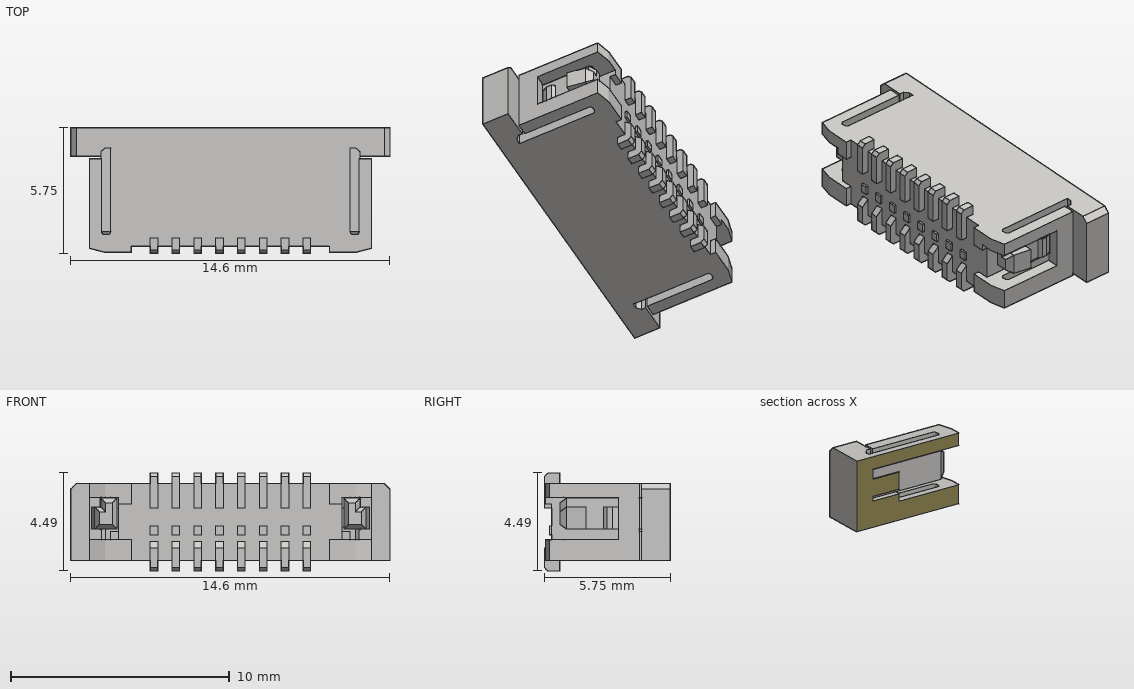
import cadquery as cq

length = 14.6
depth = 5.75
housing_height = 3.53

flange_depth = 1.31
flange_chamfer = 0.26
flange_front = depth - flange_depth
flange_half = length / 2
housing_half = 6.45
front_face = 0.32
arm_gap = 0.1
arm_back = flange_front - arm_gap

ear_front = 0.05
ear_inner = 4.53
ear_taper_start = 5.72
ear_side_front = 0.23
upper_ear_bottom = 2.58

window_bottom = 0.96
window_top = 2.89
window_back = 3.37
cavity_inner = 5.11
cavity_outer = 5.95
ledge_top = 1.33

slot_inner = 5.48
slot_outer = 5.88
slot_rear_outer = 5.93
slot_front = 0.86
slot_back = 4.83
slot_radius = 0.15
slot_chamfer_x = 0.22
slot_chamfer_y = 0.18

latch_inner = 5.18
latch_outer = slot_rear_outer
latch_bottom = 1.45
latch_top = 2.86
latch_clearance = window_top - latch_top
latch_front = 0.7
latch_bevel_length = 0.3
latch_bevel_inset = 0.22
bevel_back = latch_front + latch_bevel_length
hook_outer = 6.35
hook_front_outer = 6.2
hook_top = 2.45
hook_back = 1.9
bump_height = 0.12
bump_front = 2.7
bump_flat_front = 2.86
bump_flat_back = 3.11
bridge_bottom = 1.53
bridge_top = 2.41

pin_count = 8
pin_row_span = 7.0
pin_pitch = pin_row_span / (pin_count - 1)
pin_width = 0.35
pin_overhang = 0.48
pin_back = 0.7
pin_chamfer = 0.16
upper_pin_bottom = 2.41
lower_pin_top = 0.88
lower_pin_slope_end = 0.57
stub_bottom = 1.18
stub_top = 1.59
stub_projection = 0.1


def box(x_range, y_range, z_range):
    """Axis-aligned block between two limits on each axis."""
    size = [limits[1] - limits[0] for limits in (x_range, y_range, z_range)]
    corner = (x_range[0], y_range[0], z_range[0])
    return cq.Workplane("XY").box(*size, centered=False).translate(corner)


def make_flange():
    flange = box((-flange_half, flange_half), (flange_front, depth), (0, housing_height))
    return flange.edges("|Y and >Z").chamfer(flange_chamfer)


def make_housing():
    return box((-housing_half, housing_half), (front_face, flange_front), (0, housing_height))


def make_ears():
    """Left pair of tapered ears; the upper one hangs lower than the window top."""
    ear = [
        (-housing_half, front_face),
        (-housing_half, ear_side_front),
        (-ear_taper_start, ear_front),
        (-ear_inner, ear_front),
        (-ear_inner, front_face),
    ]
    ears = cq.Workplane("XY").polyline(ear).close().extrude(housing_height)
    opening = box((-housing_half, -ear_inner), (0, front_face), (window_bottom, upper_ear_bottom))
    return ears.cut(opening)


def make_slot():
    """Left full-height slot: rounded at the front, one chamfered corner at the rear."""
    narrow = box((-slot_outer, -slot_inner), (slot_front, flange_front), (0, housing_height))
    narrow = narrow.edges("|Z and <Y").fillet(slot_radius)
    rear = [
        (-slot_inner, arm_back),
        (-slot_rear_outer, arm_back),
        (-slot_rear_outer, slot_back - slot_chamfer_y),
        (-slot_rear_outer + slot_chamfer_x, slot_back),
        (-slot_inner, slot_back),
    ]
    return narrow.union(cq.Workplane("XY").polyline(rear).close().extrude(housing_height))


def make_side_cuts():
    """Everything removed around the left latch."""
    window = box((-housing_half, -cavity_inner), (0, window_back), (window_bottom, window_top))
    beam_space = box(
        (-cavity_outer, -slot_inner),
        (window_back, arm_back),
        (latch_bottom - latch_clearance, window_top),
    )
    ledge_space = box((-slot_inner, -cavity_inner), (window_back, slot_back), (ledge_top, window_top))
    gap = box((-housing_half, -slot_rear_outer), (arm_back, flange_front), (0, housing_height))
    return make_slot().union(window).union(beam_space).union(ledge_space).union(gap)


def hook_outline(inset):
    """Stepped front outline of the latch in X and Z, moved inwards by the inset."""
    return [
        (-latch_inner - inset, latch_bottom + inset),
        (-latch_inner - inset, latch_top - inset),
        (-latch_outer + inset, latch_top - inset),
        (-latch_outer + inset, hook_top - inset),
        (-hook_front_outer + inset, hook_top - inset),
        (-hook_front_outer + inset, latch_bottom + inset),
    ]


def make_latch():
    """Left latch: beam from the slot back, side hook, snap bump and bevelled nose."""
    beam = box((-latch_outer, -latch_inner), (bevel_back, slot_back), (latch_bottom, latch_top))
    side = [
        (-latch_inner, bevel_back),
        (-hook_front_outer, bevel_back),
        (-hook_outer, hook_back),
        (-latch_outer, hook_back),
        (-latch_outer, bump_front),
        (-latch_outer - bump_height, bump_flat_front),
        (-latch_outer - bump_height, bump_flat_back),
        (-latch_outer, window_back),
        (-latch_inner, window_back),
    ]
    side_body = cq.Workplane("XY", origin=(0, 0, latch_bottom)).polyline(side).close()
    side_body = side_body.extrude(hook_top - latch_bottom)
    nose = (
        cq.Workplane("XZ", origin=(0, bevel_back, 0))
        .polyline(hook_outline(0))
        .close()
        .workplane(offset=latch_bevel_length)
        .polyline(hook_outline(latch_bevel_inset))
        .close()
        .loft(ruled=True)
    )
    bridge = box((-latch_inner, -cavity_inner), (window_back, slot_back), (bridge_bottom, bridge_top))
    return beam.union(side_body).union(nose).union(bridge)


def make_contact():
    """Upper pin, lower pin and small stub of one contact, centred on X = 0."""
    top = housing_height + pin_overhang
    upper = [
        (pin_back, top),
        (pin_chamfer, top),
        (0, top - pin_chamfer),
        (0, upper_pin_bottom),
        (pin_back, upper_pin_bottom),
    ]
    lower = [
        (pin_back, -pin_overhang),
        (pin_chamfer, -pin_overhang),
        (0, pin_chamfer - pin_overhang),
        (0, lower_pin_slope_end),
        (front_face, lower_pin_top),
        (pin_back, lower_pin_top),
    ]
    upper_pin = cq.Workplane("YZ").polyline(upper).close().extrude(pin_width / 2, both=True)
    lower_pin = cq.Workplane("YZ").polyline(lower).close().extrude(pin_width / 2, both=True)
    stub_y = (front_face - stub_projection, pin_back)
    stub = box((-pin_width / 2, pin_width / 2), stub_y, (stub_bottom, stub_top))
    return upper_pin.union(lower_pin).union(stub)


left_ears = make_ears()
side_cuts = make_side_cuts()
latch = make_latch()

result = make_housing().union(make_flange())
result = result.union(left_ears).union(left_ears.mirror("YZ"))
result = result.cut(side_cuts).cut(side_cuts.mirror("YZ"))
result = result.union(latch).union(latch.mirror("YZ"))

contact = make_contact()
for index in range(pin_count):
    pin_x = (index - (pin_count - 1) / 2) * pin_pitch
    result = result.union(contact.translate((pin_x, 0, 0)))